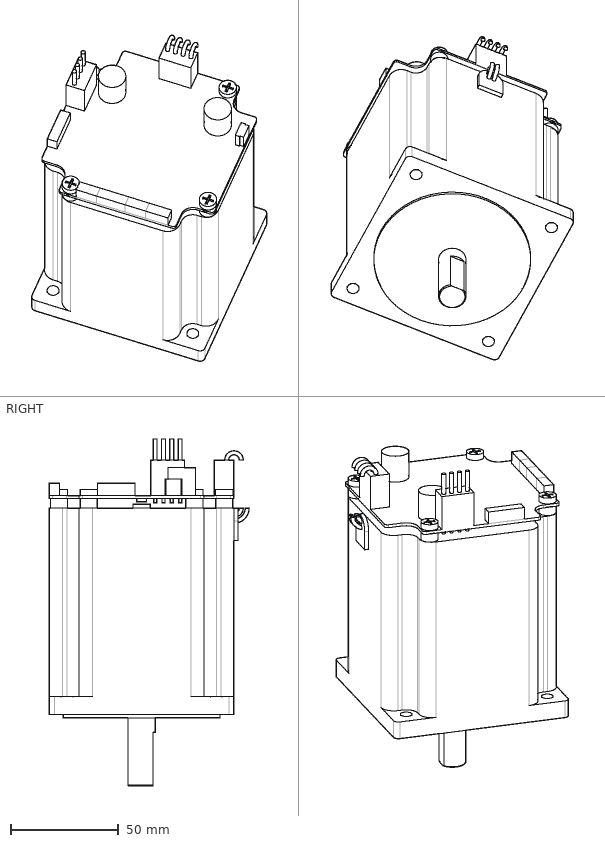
import cadquery as cq


width = 85.9
half = width / 2
edge_tolerance = 0.02
corner_notch = 29.0

flange_height = 8.4
flange_corner_radius = 2.5
mount_hole_dia = 5.5
mount_hole_offset = 34.7
pilot_dia = 73.0
pilot_height = 1.5

case_top = 96.0
case_notch_radius = 5.7
case_lobe_radius = 6.1

shaft_dia = 12.8
shaft_end = -33.3
shaft_chamfer = 0.5
flat_offset = 5.3
flat_start = -8.2
rear_stub_dia = 8.0
rear_stub_height = 1.8

outlet_x = 1.0
outlet_width = 12.3
outlet_depth = 2.0
outlet_height = 15.2
lead_dia = 2.0
leads_per_row = 2
lead_spacing = 2.6
lead_bend_radii = (3.4, 6.1)

board_bottom = 100.4
board_thickness = 1.5
board_top = board_bottom + board_thickness
board_notch_radius = 5.8
board_tip_radius = 1.6

screw_dia = 8.0
screw_head_height = 2.9
screw_near = 24.5
screw_far = 38.5
cross_length = 5.2
cross_width = 0.8
cross_depth = 1.0

capacitor_dia = 12.8
capacitor_height = 12.9
capacitor_y = 18.7
capacitor_xs = (-25.5, 27.0)

plug_length = 15.8
plug_depth = 9.2
plug_height = 16.5
side_plug_y = 12.1
wire_dia = 2.0
wire_count = 4
wire_spacing = 3.9
wire_inset = 3.4
straight_wire_length = 9.8
tail_dia = 1.5
tail_length = 2.0

header_height = 5.8
header_depth = 4.8
front_header_start = -20.2
front_header_lengths = (10.2, 14.2, 10.2, 11.1)
side_header_y = -11.8
side_header_length = 17.6

socket_y = 14.9
socket_height = 7.6
socket_inner_x = 38.6
socket_step_x = 40.7
socket_outer_x = 42.6
socket_wide = 7.7
socket_narrow = 7.0

sensor_size_x = 5.2
sensor_size_y = 4.7
sensor_height = 1.5


def block(x_min, x_max, y_min, y_max, z_min, z_max):
    """Rectangular block between the given limits."""
    size = (x_max - x_min, y_max - y_min, z_max - z_min)
    return cq.Workplane("XY").box(*size, centered=False).translate((x_min, y_min, z_min))


def cylinder(x, y, z, diameter, height):
    """Upright cylinder rising from (x, y, z)."""
    return cq.Workplane("XY", origin=(x, y, z)).circle(diameter / 2).extrude(height)


def notched_square(z, height, notch_radius, tip_radius):
    """Square plate with a rounded notch in each corner and rounded tips beside it."""
    plate = cq.Workplane("XY", origin=(0, 0, z)).rect(width, width).extrude(height)
    cutter_centre = corner_notch + half
    for sign_x in (-1, 1):
        for sign_y in (-1, 1):
            cutter = (
                cq.Workplane("XY", origin=(sign_x * cutter_centre, sign_y * cutter_centre, z))
                .rect(width, width)
                .extrude(height)
                .edges("|Z")
                .fillet(notch_radius)
            )
            plate = plate.cut(cutter)
    tips = [
        edge
        for edge in plate.edges("|Z").vals()
        if max(abs(edge.Center().x), abs(edge.Center().y)) > half - edge_tolerance
    ]
    return plate.newObject(tips).fillet(tip_radius)


def row(count, spacing):
    """Evenly spaced offsets centred on zero."""
    return [(i - (count - 1) / 2) * spacing for i in range(count)]


def bent_wire(x, start, middle, end, diameter):
    """Round wire along an arc in the YZ plane at x; each point is (y, z)."""
    path = cq.Workplane("YZ", origin=(x, 0, 0)).moveTo(*start).threePointArc(middle, end)
    profile = cq.Workplane("XY", origin=(x, *start)).circle(diameter / 2)
    return profile.sweep(path)


def flange():
    plate = cq.Workplane("XY").rect(width, width).extrude(flange_height)
    plate = plate.edges("|Z").fillet(flange_corner_radius)
    pilot = cylinder(0, 0, -pilot_height, pilot_dia, pilot_height)
    holes = (
        cq.Workplane("XY")
        .rect(2 * mount_hole_offset, 2 * mount_hole_offset, forConstruction=True)
        .vertices()
        .circle(mount_hole_dia / 2)
        .extrude(flange_height)
    )
    return plate.cut(holes).union(pilot)


def shaft():
    rod = cylinder(0, 0, shaft_end, shaft_dia, -shaft_end)
    rod = rod.faces("<Z").chamfer(shaft_chamfer)
    flat = block(-shaft_dia, shaft_dia, flat_offset, shaft_dia, shaft_end, flat_start)
    return rod.cut(flat)


def lead_outlet():
    """Block with an arched top on the +Y wall, and two rows of leads bending up out of it."""
    radius = outlet_width / 2
    arch_start = case_top - radius
    outlet = (
        cq.Workplane("XZ", origin=(outlet_x, half, 0))
        .moveTo(-radius, case_top - outlet_height)
        .lineTo(radius, case_top - outlet_height)
        .lineTo(radius, arch_start)
        .threePointArc((0, case_top), (-radius, arch_start))
        .close()
        .extrude(-outlet_depth)
    )
    for bend in lead_bend_radii:
        diagonal = bend * 0.5**0.5
        for offset in row(leads_per_row, lead_spacing):
            lead = bent_wire(
                outlet_x + offset,
                (half + bend, case_top),
                (half + diagonal, case_top - diagonal),
                (half, case_top - bend),
                lead_dia,
            )
            outlet = outlet.union(lead)
    return outlet


def build_motor():
    case_height = case_top - flange_height
    case = notched_square(flange_height, case_height, case_notch_radius, case_lobe_radius)
    rear_stub = cylinder(0, 0, case_top, rear_stub_dia, rear_stub_height)
    return case.union(flange()).union(shaft()).union(rear_stub).union(lead_outlet())


def screw(x, y):
    """Post standing on the motor, carried through the board to a cross-slotted head."""
    head_top = board_top + screw_head_height
    post = cylinder(x, y, case_top, screw_dia, head_top - case_top)
    for slot in ((cross_length, cross_width), (cross_width, cross_length)):
        cutter = cq.Workplane("XY", origin=(x, y, head_top)).rect(*slot).extrude(-cross_depth)
        post = post.cut(cutter)
    return post


def rear_plug():
    """Plug at the +Y edge whose wires loop over the edge."""
    top = board_top + plug_height
    plug = block(-plug_length / 2, plug_length / 2, half - plug_depth, half, board_top, top)
    for x in row(wire_count, wire_spacing):
        wire = bent_wire(
            x, (half - wire_inset, top), (half, top + wire_inset), (half + wire_inset, top), wire_dia
        )
        plug = plug.union(wire)
    return plug


def side_plug():
    """Plug at the -X edge with straight wires above it and solder tails below the board."""
    top = board_top + plug_height
    y_min = side_plug_y - plug_length / 2
    plug = block(-half, plug_depth - half, y_min, y_min + plug_length, board_top, top)
    wire_x = wire_inset - half
    for offset in row(wire_count, wire_spacing):
        y = side_plug_y + offset
        tail = cylinder(wire_x, y, board_bottom - tail_length, tail_dia, tail_length)
        plug = plug.union(cylinder(wire_x, y, top, wire_dia, straight_wire_length))
        plug = plug.union(tail)
    return plug


def headers():
    """Row of low headers along the -Y edge and one at the -X edge."""
    top = board_top + header_height
    parts = []
    start = front_header_start
    for length in front_header_lengths:
        parts.append(block(start, start + length, -half, header_depth - half, board_top, top))
        start += length
    y_min = side_header_y - side_header_length / 2
    y_max = y_min + side_header_length
    parts.append(block(-half, header_depth - half, y_min, y_max, board_top, top))
    return parts


def socket():
    """Tall socket near the +X edge, with a narrower outer half."""
    top = board_top + socket_height
    inner = block(
        socket_inner_x, socket_step_x,
        socket_y - socket_wide / 2, socket_y + socket_wide / 2,
        board_top, top,
    )
    outer = block(
        socket_step_x, socket_outer_x,
        socket_y - socket_narrow / 2, socket_y + socket_narrow / 2,
        board_top, top,
    )
    return inner.union(outer)


def build_board():
    board = notched_square(board_bottom, board_thickness, board_notch_radius, board_tip_radius)
    screw_places = (
        (-screw_near, -screw_far),
        (screw_far, -screw_near),
        (screw_near, screw_far),
        (-screw_far, screw_near),
    )
    for x, y in screw_places:
        board = board.union(screw(x, y))
    for x in capacitor_xs:
        board = board.union(cylinder(x, capacitor_y, board_top, capacitor_dia, capacitor_height))
    sensor = block(
        -sensor_size_x / 2, sensor_size_x / 2,
        -sensor_size_y / 2, sensor_size_y / 2,
        board_bottom - sensor_height, board_bottom,
    )
    board = board.union(sensor).union(rear_plug()).union(side_plug()).union(socket())
    for header in headers():
        board = board.union(header, clean=False)
    return board


motor = build_motor()
board = build_board()

result = cq.Compound.makeCompound([motor.solids().val(), board.solids().val()])